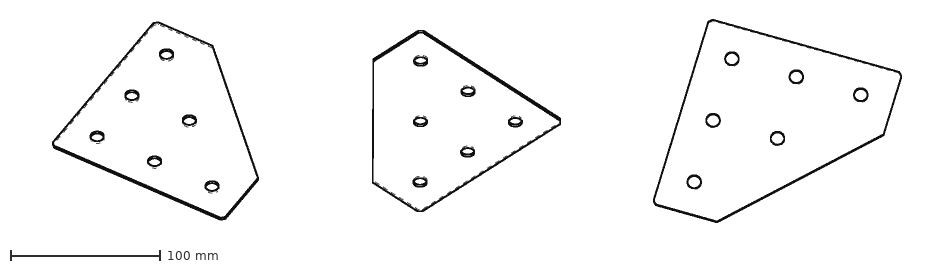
import cadquery as cq

side = 135.0
thickness = 2.0
holes_per_leg = 3
hole_diameter = 9.0
corner_chamfer = 2.3

pitch = side / holes_per_leg
edge_distance = pitch / 2


def plate_blank():
    """Square plate with one large diagonal cut and three small corner chamfers."""
    outline = [
        (corner_chamfer, 0),
        (side - corner_chamfer, 0),
        (side, corner_chamfer),
        (side, pitch),
        (pitch, side),
        (corner_chamfer, side),
        (0, side - corner_chamfer),
        (0, corner_chamfer),
    ]
    return cq.Workplane("XY").polyline(outline).close().extrude(thickness)


def hole_centres():
    """Triangular grid of holes, one fewer in each row going up."""
    return [
        (edge_distance + column * pitch, edge_distance + row * pitch)
        for row in range(holes_per_leg)
        for column in range(holes_per_leg - row)
    ]


def hole_cutters():
    """Cylinders through the full thickness at every hole centre."""
    return cq.Workplane("XY").pushPoints(hole_centres()).circle(hole_diameter / 2).extrude(thickness)


result = plate_blank().cut(hole_cutters())